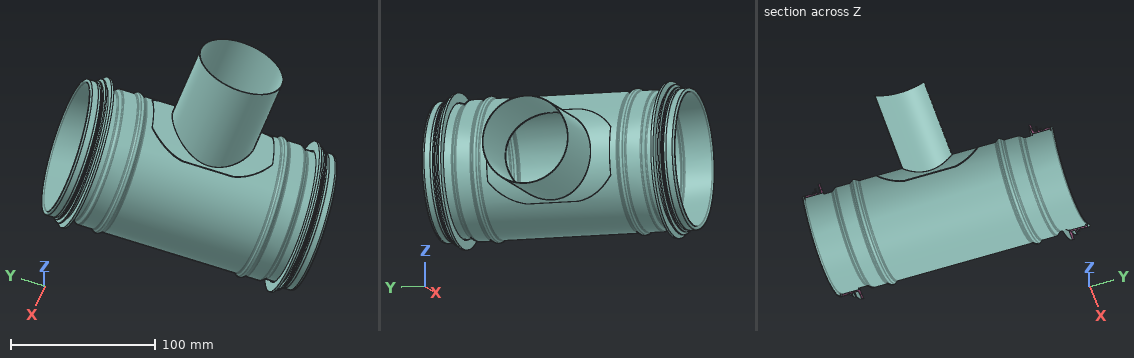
import cadquery as cq
import math

pipe_length = 183.0
wall = 0.45
body_diameter = 99.0
neck_diameter = 94.2
bend_radius = 1.5

hem_length = 6.2

step_start = 21.5
step_end = 24.3

bead_position = 38.6
bead_half_width = 3.1
bead_slope = 37.0
bead_crown_radius = 2.0

branch_diameter = 62.0
branch_reach = 104.5
saddle_half_length = 44.5
saddle_half_height = 32.5
saddle_side_half_height = 17.0
saddle_top_half_length = 18.5
saddle_corner_y = 34.0
saddle_corner_z = 26.9

seal_bore_diameter = 95.5
seal_start = 1.8
lip_taper = 0.4
lips = [
    (100.6, 7.9, 9.2),
    (104.5, 10.0, 11.3),
    (109.5, 13.5, 15.5),
]

half_length = pipe_length / 2
body_radius = body_diameter / 2
body_bore_radius = body_radius - wall
neck_radius = neck_diameter / 2
body_middle = body_radius - wall / 2
neck_middle = neck_radius - wall / 2
branch_radius = branch_diameter / 2


def mirrored_points(points):
    """The points followed by their reflections in the plane Y = 0, in reverse order."""
    return points + [(x, -y) for x, y in reversed(points)]


def hem_edges(end):
    """Middle line of the hem at one end (-1 or +1): a half-round fold and the folded-back strip."""
    fold_radius = (body_middle - neck_middle) / 2
    crest_y = half_length - wall / 2
    fold_y = crest_y - fold_radius
    tip_y = half_length - hem_length + wall / 2

    neck_point = cq.Vector(neck_middle, end * fold_y)
    crest_point = cq.Vector(neck_middle + fold_radius, end * crest_y)
    strip_point = cq.Vector(body_middle, end * fold_y)
    tip_point = cq.Vector(body_middle, end * tip_y)
    fold = cq.Edge.makeThreePointArc(neck_point, crest_point, strip_point)
    strip = cq.Edge.makeLine(strip_point, tip_point)
    return neck_point, [fold, strip]


def make_pipe_shell():
    """Plain pipe, before the branch opening is cut."""
    bead_y = half_length - bead_position
    bead_apex = body_middle + bead_half_width * math.tan(math.radians(bead_slope))

    neck_point, first_hem = hem_edges(1)
    last_hem = hem_edges(-1)[1]
    bends = [
        (neck_middle, half_length - step_start),
        (body_middle, half_length - step_end),
        (body_middle, bead_y + bead_half_width),
        (bead_apex, bead_y),
        (body_middle, bead_y - bead_half_width),
    ]
    corners = mirrored_points([(neck_point.x, neck_point.y)] + bends)
    path = cq.Wire.makePolygon([cq.Vector(x, y) for x, y in corners])

    feet_and_steps = [
        v for v in path.Vertices()
        if v.X < bead_apex - wall and abs(v.Y) < neck_point.y - wall
    ]
    path = path.fillet(bend_radius, feet_and_steps)
    crowns = [v for v in path.Vertices() if v.X > bead_apex - wall]
    path = path.fillet(bead_crown_radius, crowns)

    path = cq.Wire.assembleEdges(first_hem[::-1] + path.Edges() + last_hem)
    outline = path.offset2D(wall / 2)[0]
    section = cq.Face.makeFromWires(outline)
    return cq.Workplane(cq.Solid.revolve(section, 360, cq.Vector(0, 0, 0), cq.Vector(0, 1, 0)))


def make_saddle_blank():
    """Bar along X with the saddle outline, from the pipe axis to the open end of the branch."""
    long, high = saddle_half_length, saddle_half_height
    top, side = saddle_top_half_length, saddle_side_half_height
    corner_y, corner_z = saddle_corner_y, saddle_corner_z
    return (
        cq.Workplane("YZ")
        .moveTo(-top, high)
        .lineTo(top, high)
        .threePointArc((corner_y, corner_z), (long, side))
        .lineTo(long, -side)
        .threePointArc((corner_y, -corner_z), (top, -high))
        .lineTo(-top, -high)
        .threePointArc((-corner_y, -corner_z), (-long, -side))
        .lineTo(-long, side)
        .threePointArc((-corner_y, corner_z), (-top, high))
        .close()
        .extrude(-branch_reach)
    )


def y_cylinder(radius):
    """Cylinder on the pipe axis, as long as the pipe."""
    return cq.Workplane("XZ").circle(radius).extrude(half_length, both=True)


def x_cylinder(radius):
    """Cylinder on the branch axis, from the pipe axis to the open end."""
    return cq.Workplane("YZ").circle(radius).extrude(-branch_reach)


def make_pipe():
    return make_pipe_shell().cut(make_saddle_blank())


def make_branch():
    """Branch tube with a saddle plate that fills the window in the pipe wall."""
    saddle = make_saddle_blank().intersect(y_cylinder(body_radius))
    return (
        saddle.union(x_cylinder(branch_radius))
        .cut(y_cylinder(body_bore_radius))
        .cut(x_cylinder(branch_radius - wall))
    )


def make_seal(end):
    """Seal ring at one end (-1 or +1): a sleeve tucked under the hem, with three outer lips."""
    bore_radius = seal_bore_diameter / 2
    sleeve_radius = body_bore_radius
    profile = [(bore_radius, seal_start), (sleeve_radius, seal_start)]
    for tip_diameter, front, back in lips:
        tip_radius = tip_diameter / 2
        profile += [
            (sleeve_radius, front),
            (tip_radius, front + lip_taper),
            (tip_radius, back),
            (sleeve_radius, back),
        ]
    seal_end = profile[-1][1]
    profile.append((bore_radius, seal_end))
    points = [(radius, end * (half_length - depth)) for radius, depth in profile]
    return cq.Workplane("XY").polyline(points).close().revolve(360, (0, 0, 0), (0, 1, 0))


pipe = make_pipe().solids()
branch = make_branch().solids()
seals = [make_seal(end) for end in (-1, 1)]

result = cq.Compound.makeCompound([pipe.val(), branch.val(), *[seal.val() for seal in seals]])